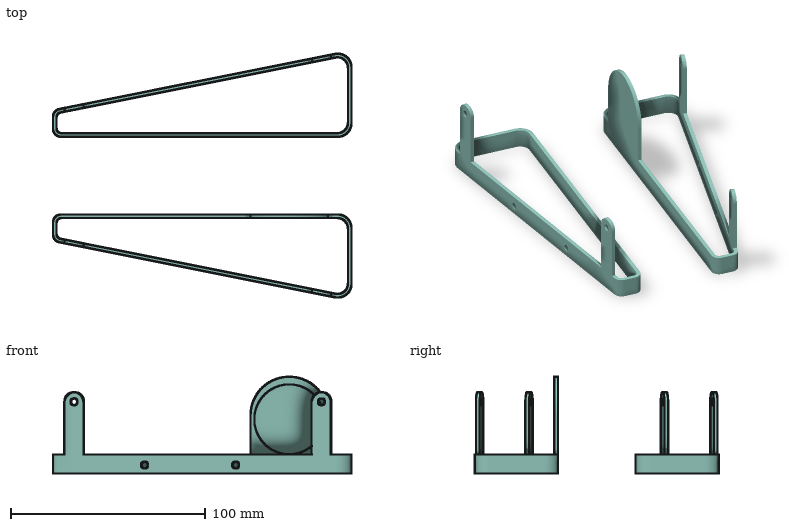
import cadquery as cq
import math

LENGTH = 154.0
DEPTH = 43.0
INNER_GAP = 39.9
BAND_HEIGHT = 10.0
WALL = 2.0
SLOPE_ANGLE = 11.3
WIDE_END_RADIUS = 7.2
NARROW_END_RADIUS = 4.3

HOLE_DIAMETER = 3.5
TAB_WIDTH = 10.0
TAB_TOP = 42.0
TAB_XS = (10.8, 138.3)
BAND_HOLE_XS = (47.1, 94.1)
BAND_HOLE_Z = 4.5

PLATE_WIDTH = 40.0
PLATE_TOP = 50.0
PLATE_X = 121.8
RECESS_DIAMETER = 36.0
RECESS_Z = BAND_HEIGHT + RECESS_DIAMETER / 2
RECESS_DEPTH = 0.3

SLOPE = math.radians(SLOPE_ANGLE)
STRAIGHT_Y = -INNER_GAP / 2
CORNER_X = LENGTH - WIDE_END_RADIUS
CORNER_Y = STRAIGHT_Y - DEPTH + WIDE_END_RADIUS


def slope_y(x):
    """Y of the sloped wall's outer face at a given X."""
    return CORNER_Y - WIDE_END_RADIUS / math.cos(SLOPE) + (CORNER_X - x) * math.tan(SLOPE)


def slope_plane(x):
    """Plane on the sloped wall's outer face: local x along the wall, local y up."""
    return cq.Plane(
        origin=(x, slope_y(x), 0),
        xDir=(math.cos(SLOPE), -math.sin(SLOPE), 0),
        normal=(-math.sin(SLOPE), -math.cos(SLOPE), 0),
    )


def round_topped_plate(plane, width, top):
    """Plate one wall thick behind the plane, standing on the base, with a full-round top."""
    radius = width / 2
    return (
        cq.Workplane(plane)
        .moveTo(-radius, 0)
        .lineTo(-radius, top - radius)
        .threePointArc((0, top), (radius, top - radius))
        .lineTo(radius, 0)
        .close()
        .extrude(-WALL)
    )


def slope_hole(x, z):
    """Cutter for a hole through the sloped wall."""
    return cq.Workplane(slope_plane(x)).center(0, z).circle(HOLE_DIAMETER / 2).extrude(-WALL)


def band():
    """Closed band following a tapered outline with rounded corners."""
    block = (
        cq.Workplane("XY")
        .polyline([(0, STRAIGHT_Y), (0, slope_y(0)), (LENGTH, slope_y(LENGTH)), (LENGTH, STRAIGHT_Y)])
        .close()
        .extrude(BAND_HEIGHT)
        .edges("|Z and <X")
        .fillet(NARROW_END_RADIUS)
        .edges("|Z and >X")
        .fillet(WIDE_END_RADIUS)
    )
    opening = block.faces("<Z").wires().toPending().offset2D(-WALL).extrude(BAND_HEIGHT, combine=False)
    return block.cut(opening)


def tabbed_frame():
    """Band with two drilled tabs and two holes in its sloped wall."""
    frame = band()
    for x in TAB_XS:
        frame = frame.union(round_topped_plate(slope_plane(x), TAB_WIDTH, TAB_TOP))
        frame = frame.cut(slope_hole(x, TAB_TOP - TAB_WIDTH / 2))
    for x in BAND_HOLE_XS:
        frame = frame.cut(slope_hole(x, BAND_HOLE_Z))
    return frame


def add_recessed_plate(frame):
    """Add the recessed round-topped plate to the straight wall."""
    plane = cq.Plane(origin=(PLATE_X, STRAIGHT_Y - WALL, 0), xDir=(1, 0, 0), normal=(0, -1, 0))
    plate = round_topped_plate(plane, PLATE_WIDTH, PLATE_TOP)
    recess = cq.Workplane(plane).center(0, RECESS_Z).circle(RECESS_DIAMETER / 2).extrude(-RECESS_DEPTH)
    return frame.union(plate).cut(recess)


plain_frame = tabbed_frame().mirror("XZ")
plate_frame = add_recessed_plate(tabbed_frame())

result = cq.Compound.makeCompound([plate_frame.val(), plain_frame.val()])